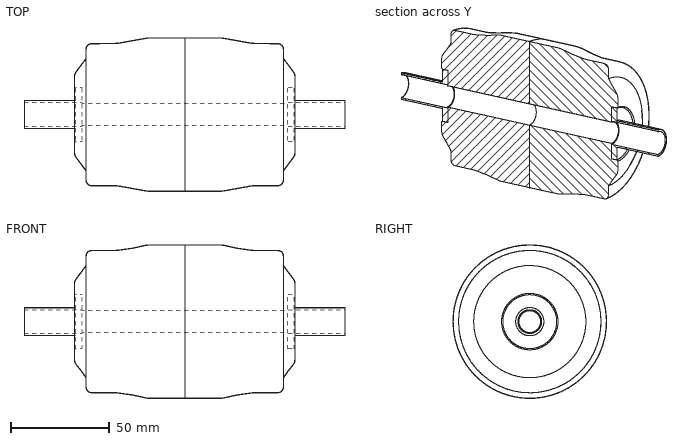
import cadquery as cq

TOTAL_LENGTH = 163.0

BELLY_DIAMETER = 78.0
BELLY_RADIUS = BELLY_DIAMETER / 2
COLLAR_RADIUS = 36.2
BELLY_END_X = 18.7
COLLAR_START_X = 34.5
SLOPE_BLEND_RADIUS = 15.0
SHOULDER_X = 50.2
SHOULDER_FILLET = 3.0

CAP_BASE_RADIUS = 28.5
CAP_TIP_RADIUS = 20.7
CAP_FACE_X = 56.0
CAP_FILLET = 3.9

TUBE_RADIUS = 7.2
BORE_RADIUS = 6.0
PASSAGE_RADIUS = 5.5
FLANGE_RADIUS = 13.7
FLANGE_THICKNESS = 3.3
SEAT_CHAMFER = 0.7
FLANGE_FACE_X = CAP_FACE_X - SEAT_CHAMFER
FLANGE_BACK_X = FLANGE_FACE_X - FLANGE_THICKNESS
TUBE_END_X = TOTAL_LENGTH / 2

MATCH_TOLERANCE = 0.002


def cylinder(radius, start_x, end_x):
    """Solid cylinder along the X axis."""
    return cq.Workplane("YZ", origin=(start_x, 0, 0)).circle(radius).extrude(end_x - start_x)


def round_corner(body, x, radius, fillet):
    """Fillet the circular edge of the given radius that lies at x."""
    corner = body.edges("%CIRCLE").filter(
        lambda edge: max(abs(edge.Center().x - x), abs(edge.radius() - radius)) < MATCH_TOLERANCE
    )
    return corner.fillet(fillet)


def turned_barrel():
    """Solid of revolution for the right half of the barrel and its end cap."""
    barrel = (
        cq.Workplane("XY")
        .lineTo(0, -BELLY_RADIUS)
        .lineTo(BELLY_END_X, -BELLY_RADIUS)
        .lineTo(COLLAR_START_X, -COLLAR_RADIUS)
        .lineTo(SHOULDER_X, -COLLAR_RADIUS)
        .lineTo(SHOULDER_X, -CAP_BASE_RADIUS)
        .lineTo(CAP_FACE_X, -CAP_TIP_RADIUS)
        .lineTo(CAP_FACE_X, 0)
        .close()
        .revolve(360, (0, 0, 0), (1, 0, 0))
    )
    barrel = round_corner(barrel, BELLY_END_X, BELLY_RADIUS, SLOPE_BLEND_RADIUS)
    barrel = round_corner(barrel, COLLAR_START_X, COLLAR_RADIUS, SLOPE_BLEND_RADIUS)
    barrel = round_corner(barrel, SHOULDER_X, COLLAR_RADIUS, SHOULDER_FILLET)
    return round_corner(barrel, CAP_FACE_X, CAP_TIP_RADIUS, CAP_FILLET)


def make_housing_half():
    """Right half of the housing: barrel with a through passage and a chamfered flange seat."""
    seat = cylinder(FLANGE_RADIUS, FLANGE_BACK_X, CAP_FACE_X)
    passage = cylinder(PASSAGE_RADIUS, 0, CAP_FACE_X)
    half = turned_barrel().cut(seat).cut(passage)
    seat_rim = half.faces(">X").edges().filter(lambda edge: edge.radius() < FLANGE_RADIUS + SEAT_CHAMFER)
    return seat_rim.chamfer(SEAT_CHAMFER)


def make_flanged_tube():
    """Right connecting tube with the flange that fills the seat."""
    flange = cylinder(FLANGE_RADIUS, FLANGE_BACK_X, FLANGE_FACE_X)
    pipe = cylinder(TUBE_RADIUS, FLANGE_BACK_X, TUBE_END_X)
    bore = cylinder(BORE_RADIUS, FLANGE_BACK_X, TUBE_END_X)
    return flange.union(pipe).cut(bore)


bodies = []
for right_body in (make_housing_half(), make_flanged_tube()):
    left_body = right_body.mirror("YZ")
    bodies += [right_body.val(), left_body.val()]

result = cq.Compound.makeCompound(bodies)